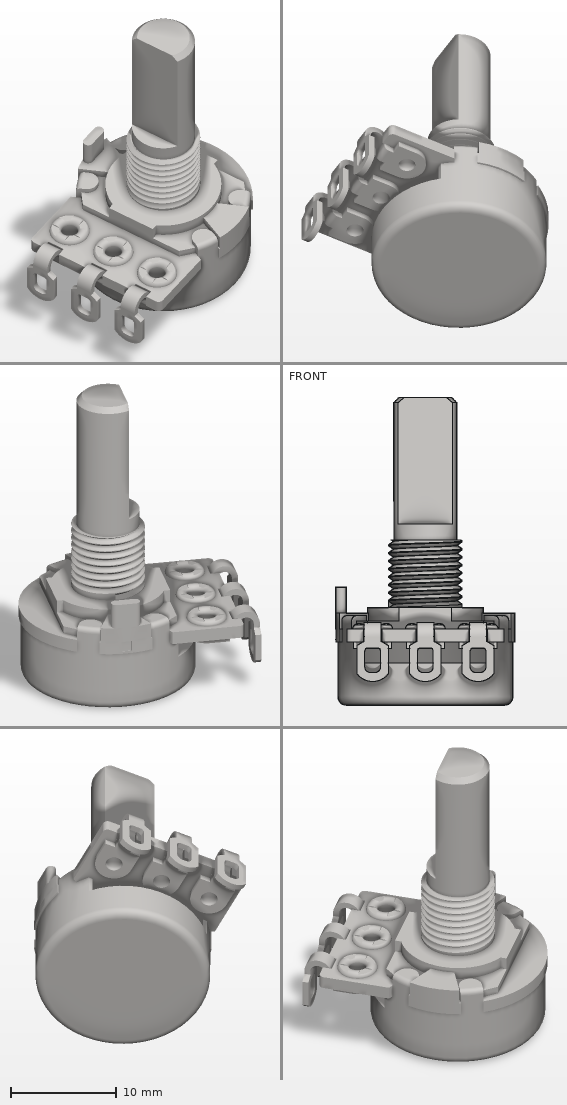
import cadquery as cq
import math


can_rim_z = 6.0
can_window_sill_z = 4.0
base_top_z = 7.25
cover_top_z = 8.0
wing_top_z = 8.75
boss_top_z = 9.25
bushing_top_z = 15.7
flat_start_z = 17.2
shaft_top_z = 29.2
pin_top_z = 11.2

can_radius = 8.3
sheet_thickness = 0.5
cavity_radius = 8.0
can_edge_fillet = 0.8
crimp_angle = 25.0
crimp_angles = (crimp_angle, 180 - crimp_angle, 180 + crimp_angle, -crimp_angle)
crimp_half_width = 1.1
crimp_inner_radius = can_radius - sheet_thickness
crimp_end_center = 7.35

base_radius = 8.5
base_half_width = 7.45
base_front_y = -11.65
base_shoulder_y = -4.2
base_corner_radius = 0.5
key_width = 1.0
key_height = 1.0
key_depth = 0.05

cover_half_depth = 5.5
boss_radius = 5.5
boss_pad_width = 5.0
cover_corner_x = 5.5
cover_flank_x = 6.6
cover_flank_y = 4.18
wing_clearance = 1.22

pin_thickness = 1.0
pin_width = 2.8

thread_radius = 3.5
thread_root_radius = 3.05
thread_pitch = 0.75
groove_start_z = 9.55
groove_root_half = 0.015
groove_mouth_half = 0.335
groove_overcut = 0.04
blank_allowance = 2.0
shaft_radius = 3.0
shaft_chamfer = 0.5
flat_y = -1.5

terminal_spacing = 5.0
terminal_y = -8.5
lug_thickness = 0.6
lug_strip_width = 1.6
lug_slot_clearance = 0.08
lug_pad_radius = 1.8
lug_pad_shoulder_y = -10.4
lug_bottom_z = can_rim_z - lug_thickness
lug_outer_y = -13.5
lug_bend_radius = 1.35
lug_bend_inner_radius = lug_bend_radius - lug_thickness
lug_bend_y = lug_outer_y + lug_bend_radius
lug_bend_z = 6.5
lug_root_bend = 0.5
eye_half_width = 1.5
eye_neck_z = 6.1
eye_shoulder_z = 5.65
eye_side_end_z = 3.0
eye_tip_z = 2.25
eye_hole_width = 1.5
eye_hole_top_z = 5.45
eye_hole_bottom_z = 3.1
eye_hole_top_radius = 0.35
eye_hole_bottom_radius = 0.55
eyelet_radius = 1.9
eyelet_bore_radius = 0.8
eyelet_crest_z = 7.75
eyelet_coined_z = 7.62
eyelet_arm_width = 1.06


def disc(radius, bottom_z, top_z):
    return cq.Workplane("XY").workplane(offset=bottom_z).circle(radius).extrude(top_z - bottom_z)


def block(x_min, x_max, y_min, y_max, z_min, z_max):
    size = (x_max - x_min, y_max - y_min, z_max - z_min)
    return cq.Workplane("XY").box(*size, centered=False).translate((x_min, y_min, z_min))


def make_can():
    """Can with a rounded closed end, a shallow cavity and a window below the terminals."""
    can = disc(can_radius, 0, can_rim_z).faces("<Z").edges().fillet(can_edge_fillet)
    can = can.cut(disc(cavity_radius, can_window_sill_z, can_rim_z))
    window = block(-can_radius, can_radius, -can_radius, -cover_half_depth, can_window_sill_z, can_rim_z)
    return can.cut(window)


def make_crimp_tabs():
    """Four tabs rising from the can rim and folded inward over the cover."""
    tab_top_z = cover_top_z + sheet_thickness
    wall = disc(can_radius, can_rim_z, tab_top_z).faces(">Z").edges().fillet(sheet_thickness)
    wall = wall.cut(disc(crimp_inner_radius, can_rim_z, cover_top_z))
    footprint = block(
        crimp_end_center, base_radius, -crimp_half_width, crimp_half_width, can_rim_z, tab_top_z
    )
    rounded_end = disc(crimp_half_width, can_rim_z, tab_top_z).translate((crimp_end_center, 0, 0))
    footprint = footprint.union(rounded_end)
    footprints = cq.Workplane("XY")
    for angle in crimp_angles:
        footprints = footprints.add(footprint.rotate((0, 0, 0), (0, 0, 1), angle))
    return wall.intersect(footprints.combine())


def make_base():
    """Insulating plate: round under the cover, rectangular under the terminals."""
    front = block(
        -base_half_width, base_half_width, base_front_y, base_shoulder_y, can_rim_z, base_top_z
    )
    front = front.edges("|Z and <Y").fillet(base_corner_radius)
    base = disc(base_radius, can_rim_z, base_top_z).union(front)
    for angle in crimp_angles:
        notch = block(
            crimp_inner_radius, 2 * base_radius, -crimp_half_width, crimp_half_width, can_rim_z, base_top_z
        )
        base = base.cut(notch.rotate((0, 0, 0), (0, 0, 1), angle))
    key_recess = block(
        -base_radius,
        key_depth - base_radius,
        -key_width / 2,
        key_width / 2,
        base_top_z - key_height,
        base_top_z,
    )
    return base.cut(key_recess)


def make_wing_sector():
    """Double wedge spanning both wings, its edges parallel to the crimp tabs."""
    slope = math.tan(math.radians(crimp_angle))
    edge_drop = wing_clearance / math.cos(math.radians(crimp_angle))
    reach = 2 * base_radius
    root_x = edge_drop / slope
    reach_y = reach * slope - edge_drop
    sector = cq.Workplane("XY").workplane(offset=base_top_z)
    right = sector.polyline([(root_x, 0), (reach, reach_y), (reach, -reach_y)]).close()
    right = right.extrude(wing_top_z - base_top_z)
    return right.union(right.mirror("YZ"))


def make_cover():
    """Metal cover with a raised boss, two side wings and the locating pin."""
    outline = [
        (cover_corner_x, cover_half_depth),
        (cover_flank_x, cover_flank_y),
        (can_radius, cover_flank_y / 2),
        (can_radius, -cover_flank_y / 2),
        (cover_flank_x, -cover_flank_y),
        (cover_corner_x, -cover_half_depth),
    ]
    outline += [(-x, y) for x, y in reversed(outline)]
    plate = cq.Workplane("XY").workplane(offset=base_top_z).polyline(outline).close()
    plate = plate.extrude(cover_top_z - base_top_z)
    plate = plate.intersect(disc(crimp_inner_radius, base_top_z, cover_top_z))
    boss = disc(boss_radius, base_top_z, boss_top_z)
    pad = block(
        -boss_pad_width / 2,
        boss_pad_width / 2,
        -cover_half_depth,
        cover_half_depth,
        base_top_z,
        boss_top_z,
    )
    wings = disc(base_radius, base_top_z, wing_top_z).intersect(make_wing_sector())
    pin = cq.Workplane("XY").workplane(offset=wing_top_z).slot2D(pin_width, pin_thickness, 90)
    pin = pin.extrude(pin_top_z - wing_top_z).translate((pin_thickness / 2 - base_radius, 0, 0))
    return plate.union(boss).union(pad).union(wings).union(pin)


def make_bushing():
    """Bushing with a right-hand helical groove that starts on the -X side.

    The groove is cut in a blank that is too tall, which is then trimmed
    so that the thread runs out through the top face.
    """
    helix_height = bushing_top_z + thread_pitch - groove_start_z
    blank = disc(thread_radius, boss_top_z, bushing_top_z + blank_allowance)
    helix = cq.Wire.makeHelix(thread_pitch, helix_height, thread_root_radius)
    flank_slope = (groove_mouth_half - groove_root_half) / (thread_radius - thread_root_radius)
    outer_radius = thread_radius + groove_overcut
    outer_half = groove_mouth_half + groove_overcut * flank_slope
    groove_profile = [
        (thread_root_radius, -groove_root_half),
        (outer_radius, -outer_half),
        (outer_radius, outer_half),
        (thread_root_radius, groove_root_half),
    ]
    groove = cq.Workplane("XZ").polyline(groove_profile).close().sweep(cq.Workplane(helix), isFrenet=True)
    groove = groove.rotate((0, 0, 0), (0, 0, 1), 180).translate((0, 0, groove_start_z))
    return blank.cut(groove).intersect(disc(2 * thread_radius, boss_top_z, bushing_top_z))


def make_shaft():
    """D-shaft with a chamfered tip."""
    shaft = disc(shaft_radius, boss_top_z, shaft_top_z).faces(">Z").edges().chamfer(shaft_chamfer)
    flat = block(-shaft_radius, shaft_radius, -shaft_radius, flat_y, flat_start_z, shaft_top_z)
    return shaft.cut(flat)


def make_lug_strip():
    """Strip that rises through the base, arches outward and hangs down."""
    root_y = lug_bend_y + lug_bend_radius
    strip = (
        cq.Workplane("YZ")
        .moveTo(root_y, lug_bend_z)
        .threePointArc((lug_bend_y, lug_bend_z + lug_bend_radius), (lug_outer_y, lug_bend_z))
        .lineTo(lug_outer_y, eye_tip_z)
        .lineTo(lug_outer_y + lug_thickness, eye_tip_z)
        .lineTo(lug_outer_y + lug_thickness, lug_bend_z)
        .threePointArc(
            (lug_bend_y, lug_bend_z + lug_bend_inner_radius), (root_y - lug_thickness, lug_bend_z)
        )
        .lineTo(root_y - lug_thickness, lug_bottom_z + lug_root_bend)
        .tangentArcPoint((lug_root_bend, -lug_root_bend))
        .lineTo(terminal_y, lug_bottom_z)
        .lineTo(terminal_y, can_rim_z)
        .lineTo(root_y, can_rim_z)
        .close()
    )
    return strip.extrude(eye_half_width, both=True)


def make_lug_face():
    """Outline of the hanging part of the lug: a narrow strip widening to a solder eye."""
    half_strip = lug_strip_width / 2
    top_z = lug_bend_z + lug_bend_radius
    face = (
        cq.Workplane("XZ", origin=(0, lug_bend_y, 0))
        .moveTo(-half_strip, top_z)
        .lineTo(half_strip, top_z)
        .lineTo(half_strip, eye_neck_z)
        .lineTo(eye_half_width, eye_shoulder_z)
        .lineTo(eye_half_width, eye_side_end_z)
        .threePointArc((0, eye_tip_z), (-eye_half_width, eye_side_end_z))
        .lineTo(-eye_half_width, eye_shoulder_z)
        .lineTo(-half_strip, eye_neck_z)
        .close()
        .extrude(lug_bend_y - lug_outer_y)
    )
    hole = block(
        -eye_hole_width / 2,
        eye_hole_width / 2,
        lug_outer_y,
        lug_outer_y + lug_thickness,
        eye_hole_bottom_z,
        eye_hole_top_z,
    )
    hole = hole.edges("|Y and >Z").fillet(eye_hole_top_radius)
    hole = hole.edges("|Y and <Z").fillet(eye_hole_bottom_radius)
    return face.cut(hole)


def make_lug():
    """Complete lug, with the U-shaped pad that sits under the base."""
    narrow_strip = block(
        -lug_strip_width / 2,
        lug_strip_width / 2,
        lug_bend_y,
        terminal_y,
        lug_bottom_z,
        lug_bend_z + lug_bend_radius,
    )
    strip = make_lug_strip()
    lug = strip.intersect(make_lug_face()).union(strip.intersect(narrow_strip))
    pad = disc(lug_pad_radius, lug_bottom_z, can_rim_z).translate((0, terminal_y, 0))
    pad_front = block(
        -lug_pad_radius, lug_pad_radius, lug_pad_shoulder_y, terminal_y, lug_bottom_z, can_rim_z
    )
    return lug.union(pad).union(pad_front)


def make_eyelet():
    """Rolled rivet rim with four coined flats leaving a raised cross."""
    crest_radius = (eyelet_radius + eyelet_bore_radius) / 2
    rim = (
        cq.Workplane("XZ")
        .moveTo(eyelet_bore_radius, base_top_z)
        .threePointArc((crest_radius, eyelet_crest_z), (eyelet_radius, base_top_z))
        .close()
        .revolve(360, (0, 0, 0), (0, 1, 0))
    )
    half_arm = eyelet_arm_width / 2
    coin = block(half_arm, eyelet_radius, half_arm, eyelet_radius, eyelet_coined_z, eyelet_crest_z)
    for quarter in range(4):
        rim = rim.cut(coin.rotate((0, 0, 0), (0, 0, 1), 90 * quarter))
    return rim.translate((0, terminal_y, 0))


def add_terminal(body, x):
    """Slot and bore the base at x, then rivet a lug there."""
    half_slot = lug_strip_width / 2 + lug_slot_clearance
    slot = block(
        x - half_slot, x + half_slot, base_front_y, lug_bend_y + lug_bend_radius, can_rim_z, base_top_z
    )
    bore = disc(eyelet_bore_radius, lug_bottom_z, eyelet_crest_z).translate((x, terminal_y, 0))
    terminal = make_lug().union(make_eyelet()).translate((x, 0, 0))
    return body.cut(slot).union(terminal).cut(bore)


body = make_can().union(make_base()).union(make_cover()).union(make_crimp_tabs())
for position in (-1, 0, 1):
    body = add_terminal(body, position * terminal_spacing)
result = body.union(make_shaft()).union(make_bushing())